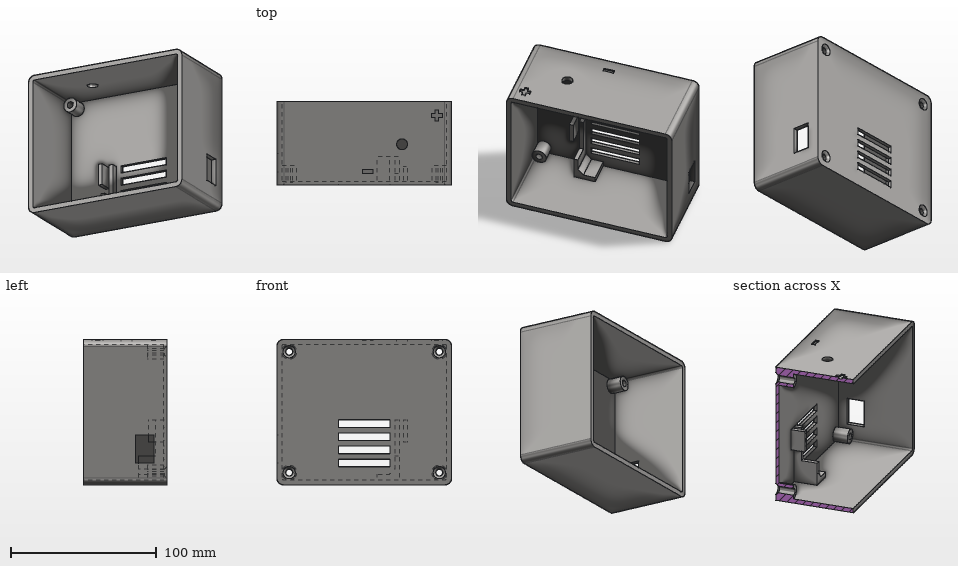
import cadquery as cq

WIDTH = 120.0
DEPTH = 57.5
HEIGHT = 100.0
CORNER_RADIUS = 4.8
WALL = 3.5
FRONT_WALL = 2.5

SCREW_INSET = 8.5
SCREW_HOLE_DIAMETER = 4.5
SCREW_HEAD_DIAMETER = 8.4
POST_DIAMETER = 10.2
POST_LENGTH = 10.8

SLOT_COUNT = 4
SLOT_WIDTH = 35.0
SLOT_HEIGHT = 5.0
SLOT_PITCH = 9.0
SLOT_LEFT = (WIDTH - SLOT_WIDTH) / 2
LOWEST_SLOT_BOTTOM = 12.6

WINDOW_FRONT = 9.0
WINDOW_BOTTOM = 15.0
WINDOW_DEPTH = 12.6
WINDOW_HEIGHT = 19.2

CABLE_HOLE_DIAMETER = 7.5
CABLE_HOLE_X = 85.9
CABLE_HOLE_Y = 28.0
MARK_LENGTH = 7.5
MARK_STROKE = 2.5
MARK_ENGRAVING = 1.0
PLUS_X = 109.8
PLUS_Y = 47.8
MINUS_X = 62.4
MINUS_Y = 9.4

FOOT_LEFT = 68.6
FOOT_TOP = 7.2
RAMP_LEFT = 77.2
RAMP_TOP = 11.2
RIB_LEFT = 81.1
RIB_THICKNESS = 3.0
RIB_TOP = 20.0
RIB_BACK = 19.5

UPRIGHT_TOP = LOWEST_SLOT_BOTTOM + (SLOT_COUNT - 1) * SLOT_PITCH + SLOT_HEIGHT
FRONT_UPRIGHT_BACK = 7.9
REAR_UPRIGHT_LEFT = 86.8
REAR_UPRIGHT_BACK = 12.7
REAR_UPRIGHT_BOTTOM = 29.5


def block(x, y, z, width, depth, height):
    """Box with its lowest corner at (x, y, z)."""
    return cq.Workplane("XY").box(width, depth, height, centered=False).translate((x, y, z))


def shell():
    outside = block(0, 0, 0, WIDTH, DEPTH, HEIGHT).edges("|Y").fillet(CORNER_RADIUS)
    inside = block(WALL, FRONT_WALL, WALL, WIDTH - 2 * WALL, DEPTH, HEIGHT - 2 * WALL)
    inside = inside.edges("|Y").fillet(CORNER_RADIUS - WALL)
    return outside.cut(inside)


def screw_post(x, z):
    return (
        cq.Workplane("XZ", origin=(x, FRONT_WALL, z))
        .circle(POST_DIAMETER / 2)
        .extrude(-POST_LENGTH)
    )


def screw_cutter(x, z):
    bore = cq.Workplane("XZ", origin=(x, 0, z)).circle(SCREW_HOLE_DIAMETER / 2).extrude(-DEPTH)
    sink_depth = (SCREW_HEAD_DIAMETER - SCREW_HOLE_DIAMETER) / 2
    sink = cq.Solid.makeCone(
        SCREW_HEAD_DIAMETER / 2,
        SCREW_HOLE_DIAMETER / 2,
        sink_depth,
        cq.Vector(x, 0, z),
        cq.Vector(0, 1, 0),
    )
    return bore.union(cq.Workplane(sink))


def vent_slots():
    slots = cq.Workplane()
    for i in range(SLOT_COUNT):
        z = LOWEST_SLOT_BOTTOM + i * SLOT_PITCH
        slots = slots.add(block(SLOT_LEFT, 0, z, SLOT_WIDTH, FRONT_WALL, SLOT_HEIGHT))
    return slots.combine()


def top_bar(x, y, length_x, length_y):
    return (
        cq.Workplane("XY", origin=(x, y, HEIGHT))
        .rect(length_x, length_y)
        .extrude(-MARK_ENGRAVING)
    )


def cable_hole():
    return (
        cq.Workplane("XY", origin=(CABLE_HOLE_X, CABLE_HOLE_Y, HEIGHT))
        .circle(CABLE_HOLE_DIAMETER / 2)
        .extrude(-WALL)
    )


def bracket():
    rib_right = RIB_LEFT + RIB_THICKNESS
    floor = WALL / 2
    profile = [
        (FOOT_LEFT, floor),
        (FOOT_LEFT, FOOT_TOP),
        (RAMP_LEFT, FOOT_TOP),
        (RIB_LEFT, RAMP_TOP),
        (RIB_LEFT, RIB_TOP),
        (rib_right, RIB_TOP),
        (rib_right, floor),
    ]
    return (
        cq.Workplane("XZ", origin=(0, FRONT_WALL, 0))
        .polyline(profile).close()
        .extrude(FRONT_WALL - RIB_BACK)
    )


def upright(left, bottom, back):
    return block(left, FRONT_WALL, bottom, RIB_THICKNESS, back - FRONT_WALL, UPRIGHT_TOP - bottom)


screw_places = [
    (x, z)
    for x in (SCREW_INSET, WIDTH - SCREW_INSET)
    for z in (SCREW_INSET, HEIGHT - SCREW_INSET)
]

result = shell().union(bracket())
result = result.union(upright(RIB_LEFT, RIB_TOP, FRONT_UPRIGHT_BACK))
result = result.union(upright(REAR_UPRIGHT_LEFT, REAR_UPRIGHT_BOTTOM, REAR_UPRIGHT_BACK))
for x, z in screw_places:
    result = result.union(screw_post(x, z))
for x, z in screw_places:
    result = result.cut(screw_cutter(x, z))

result = result.cut(vent_slots())
result = result.cut(block(0, WINDOW_FRONT, WINDOW_BOTTOM, WALL, WINDOW_DEPTH, WINDOW_HEIGHT))
result = result.cut(cable_hole())
result = result.cut(top_bar(PLUS_X, PLUS_Y, MARK_LENGTH, MARK_STROKE))
result = result.cut(top_bar(PLUS_X, PLUS_Y, MARK_STROKE, MARK_LENGTH))
result = result.cut(top_bar(MINUS_X, MINUS_Y, MARK_LENGTH, MARK_STROKE))